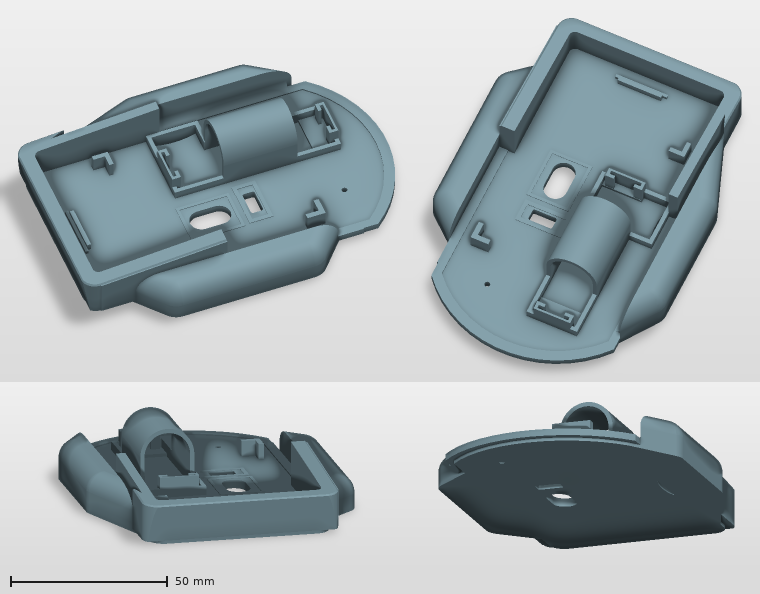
import cadquery as cq


base_top = 1.0
cover_top = 1.7
floor_top = 2.8
rim_top = 3.2
frame_top = 3.0
box_top = 5.6
clip_top = 9.5
above_all = 23.0

case_length = 115.2
case_half_width = 32.1
case_shoulder_y = 99.9
case_corner_radius = 5.1
rim_width = 2.8
rim_back_width = 3.6
rim_shoulder_y = 97.9

wall_inner_half_width = 27.2
wall_inner_front_y = 4.8
wall_back_y = 48.0
wall_inner_radius = 2.1
wall_front_height = 13.2
wall_back_height = 17.2
wall_chamfer = 0.5
front_foot_y = 1.7

pad_thickness = 0.3
pad_front_y = 5.0
pad_back_y = 94.8
pad_drop = 0.5

base_half_width = 29.5
base_front_y = 1.7
base_back_y = 112.6
base_shoulder_y = 99.0
base_corner_radius = 5.0

grip_radius = 6.0
left_grip_x = -41.2
left_grip_top = 13.1
left_grip_front_y = 41.8
left_grip_back_y = 81.9
left_front_slope = 2.7
left_back_slope = 1.46
left_foot_x = -30.3
left_fillet_back_y = 93.5
right_grip_x = 43.2
right_grip_top = 11.3
right_grip_front_y = 25.9
right_grip_back_y = 76.7
right_end_slope = 0.86

box_wall = 1.4
box_left_x = -19.3
box_right_x = -1.6
box_back_y = 100.3
box_front_y = 43.4
box_side_x = -27.3
box_side_back_y = 61.2
tunnel_front_y = 60.1
tunnel_back_y = 85.5
tunnel_radius = (box_right_x - box_left_x) / 2
tunnel_x = (box_right_x + box_left_x) / 2
tunnel_top = 20.5
tunnel_z = tunnel_top - tunnel_radius
clip_left_x = -16.9
clip_right_x = -4.0
clip_depth = 3.0
clip_back_wall = 0.7
clip_end_wall = 1.0
clip_slot = 1.2
clip_mouth = 6.9
opening_back_y = 92.0
opening_ledge_y = 46.5
notch_depth = 1.4
notch_end_gap = 0.3

led_hole_diameter = 1.8
led_hole_at = (14.6, 95.1)
switch_frame_at = (8.8, 65.9)
switch_frame_size = (16.1, 8.1)
switch_frame_wall = 1.4
switch_hole_at = (8.9, 66.0)
switch_hole_size = (8.4, 4.1)
switch_hole_corner = 0.7
slot_frame_at = (9.9, 51.0)
slot_frame_size = (14.7, 18.2)
slot_frame_wall = 1.0
slot_length = 13.8
slot_width = 7.7
bracket_top = 8.0
back_bracket_corner = (25.6, 84.4)
back_bracket_arm = 6.2
back_bracket_wall = 1.7
front_bracket_corner = (-23.6, 28.9)
front_bracket_arm = 5.4
front_bracket_wall = 1.5
latch_x = 0.7
latch_front_y = 8.4
latch_step_y = 9.5
latch_back_y = 10.8
latch_wide = 18.2
latch_narrow = 15.3
latch_top = 5.1
latch_step_top = 3.9


def block(x0, x1, y0, y1, z0, z1):
    """Box between opposite corners."""
    return cq.Workplane("XY").box(x1 - x0, y1 - y0, z1 - z0, centered=False).translate((x0, y0, z0))


def prism(points, z0, z1):
    """Upright prism over a polygon."""
    return cq.Workplane("XY").workplane(offset=z0).polyline(points).close().extrude(z1 - z0)


def arched_plate(half_width, front_y, shoulder_y, apex_y, z0, z1):
    """Plate with a square front end and an arched back end."""
    return (
        cq.Workplane("XY").workplane(offset=z0)
        .moveTo(-half_width, front_y)
        .lineTo(half_width, front_y)
        .lineTo(half_width, shoulder_y)
        .threePointArc((0, apex_y), (-half_width, shoulder_y))
        .close()
        .extrude(z1 - z0)
    )


def grip_outline(inner_x, outer_x, front_y, back_y, front_slope, back_slope):
    """Trapezoid whose slanted ends run from the outer side to inner_x."""
    depth = abs(outer_x - inner_x)
    return [
        (inner_x, front_y - depth * front_slope),
        (outer_x, front_y),
        (outer_x, back_y),
        (inner_x, back_y + depth * back_slope),
    ]


def left_outline(inner_x):
    """Outline of the left grip, reaching in to inner_x."""
    return grip_outline(
        inner_x, left_grip_x, left_grip_front_y, left_grip_back_y, left_front_slope, left_back_slope
    )


def outer_corners(body, outer_x):
    """Upright edges of a grip at its outer side."""
    side = ">X" if outer_x > 0 else "<X"
    return body.faces(side).edges("|Z")


def rounded_grip(outline, outer_x, z0, z1):
    """Grip with its outer corners and its outer top edge rounded by one radius."""
    body = outer_corners(prism(outline, z0, z1), outer_x).fillet(grip_radius)
    inner_top = "<X" if outer_x > 0 else ">X"
    return body.faces(">Z").edges(f"not {inner_top}").fillet(grip_radius)


opening_left_x = box_side_x + box_wall
opening_outline = [
    (opening_left_x, box_front_y + box_wall),
    (clip_left_x, box_front_y + box_wall),
    (clip_left_x, opening_ledge_y),
    (box_right_x - box_wall, opening_ledge_y),
    (box_right_x - box_wall, opening_back_y),
    (box_left_x + box_wall, opening_back_y),
    (box_left_x + box_wall, box_side_back_y - box_wall),
    (opening_left_x, box_side_back_y - box_wall),
]
battery_opening = prism(opening_outline, 0, floor_top)


def floor_holes():
    """Cutters for the indicator hole, the switch window and the long slot."""
    led = cq.Workplane("XY").center(*led_hole_at).circle(led_hole_diameter / 2).extrude(floor_top)
    window = (
        cq.Workplane("XY").center(*switch_hole_at).rect(*switch_hole_size).extrude(floor_top)
        .edges("|Z").fillet(switch_hole_corner)
    )
    slot = cq.Workplane("XY").center(*slot_frame_at).slot2D(slot_length, slot_width, 90).extrude(floor_top)
    return led.union(window).union(slot)


def frame(center, size, wall):
    """Low rectangular frame standing on the floor."""
    outer = cq.Workplane("XY").workplane(offset=floor_top).center(*center).rect(*size)
    inner_size = (size[0] - 2 * wall, size[1] - 2 * wall)
    return outer.rect(*inner_size).extrude(frame_top - floor_top)


def corner_bracket(corner, arm, wall, side):
    """L-shaped post: one arm runs along X toward `side`, the other toward -Y."""
    x, y = corner
    points = [
        (x, y),
        (x + side * arm, y),
        (x + side * arm, y - wall),
        (x + side * wall, y - wall),
        (x + side * wall, y - arm),
        (x, y - arm),
    ]
    return prism(points, floor_top, bracket_top)


def latch():
    """Stepped bar near the front wall."""
    low = block(latch_x - latch_wide / 2, latch_x + latch_wide / 2, latch_front_y, latch_step_y,
                floor_top, latch_step_top)
    high = block(latch_x - latch_narrow / 2, latch_x + latch_narrow / 2, latch_step_y, latch_back_y,
                 floor_top, latch_top)
    return low.union(high)


def wall_height(y):
    """Height of the sloping wall top at a distance y from the front end."""
    return wall_front_height + (wall_back_height - wall_front_height) * y / wall_back_y


def side_profile(drop, front_y, back_y, half_width):
    """Slab under the sloping wall top, seen along X."""
    return (
        cq.Workplane("YZ").workplane(offset=-half_width)
        .polyline([
            (front_y, base_top), (back_y, base_top),
            (back_y, wall_height(back_y) - drop), (front_y, wall_height(front_y) - drop),
        ])
        .close()
        .extrude(2 * half_width)
    )


def raised_wall():
    """U-shaped wall with a leaning front face and a chamfered outer top edge."""
    lean = front_foot_y / (wall_front_height - wall_chamfer - base_top)
    front_y = -wall_chamfer * lean
    body = block(-case_half_width, case_half_width, front_y, wall_back_y, base_top, above_all)
    body = body.faces("<Y").edges("|Z").fillet(case_corner_radius)
    body = body.intersect(side_profile(0, front_y, wall_back_y, case_half_width))
    front_wedge = (
        cq.Workplane("YZ").workplane(offset=-case_half_width)
        .polyline([
            (front_y, base_top), (front_foot_y, base_top), (front_y, wall_front_height),
        ])
        .close()
        .extrude(2 * case_half_width)
    )
    body = body.cut(front_wedge)
    body = body.faces(">Z").edges("not >Y").chamfer(wall_chamfer)
    cavity = block(-wall_inner_half_width, wall_inner_half_width, wall_inner_front_y, wall_back_y,
                   floor_top, above_all)
    return body.cut(cavity.faces("<Y").edges("|Z").fillet(wall_inner_radius))


def contact_clip(outer_y, inward):
    """C-shaped clip on a box end wall; `inward` is the Y direction toward the battery."""
    def strip(x0, x1, start, end):
        ys = sorted((outer_y + inward * start, outer_y + inward * end))
        return block(x0, x1, ys[0], ys[1], floor_top, clip_top)

    middle_x = (clip_left_x + clip_right_x) / 2
    slot_end = clip_back_wall + clip_slot
    body = strip(clip_left_x, clip_right_x, 0, clip_depth)
    slot = strip(clip_left_x + clip_end_wall, clip_right_x - clip_end_wall, clip_back_wall, slot_end)
    mouth = strip(middle_x - clip_mouth / 2, middle_x + clip_mouth / 2, slot_end, clip_depth)
    return body.cut(slot).cut(mouth)


def battery_box():
    """L-shaped box wall with its tunnel and the two contact clips."""
    main = block(box_left_x, box_right_x, box_front_y, box_back_y, floor_top, box_top)
    side = block(box_side_x, box_right_x, box_front_y, box_side_back_y, floor_top, box_top)
    main_inside = block(box_left_x + box_wall, box_right_x - box_wall, box_front_y + box_wall,
                        box_back_y - box_wall, floor_top, box_top)
    side_inside = block(opening_left_x, box_right_x - box_wall, box_front_y + box_wall,
                        box_side_back_y - box_wall, floor_top, box_top)
    length = tunnel_back_y - tunnel_front_y

    def tunnel_shape(radius):
        cylinder = (
            cq.Workplane("XZ", origin=(tunnel_x, tunnel_back_y, tunnel_z)).circle(radius).extrude(length)
        )
        legs = block(tunnel_x - radius, tunnel_x + radius, tunnel_front_y, tunnel_back_y, floor_top, tunnel_z)
        return cylinder.union(legs)

    tunnel = tunnel_shape(tunnel_radius).cut(tunnel_shape(tunnel_radius - box_wall))
    clip_room = block(clip_left_x, clip_right_x, box_front_y, box_back_y, floor_top, box_top)
    box = main.union(side).cut(main_inside).cut(side_inside).cut(clip_room).union(tunnel)
    return box.union(contact_clip(box_back_y, -1)).union(contact_clip(box_front_y, 1))


def make_case():
    """Floor with rim, raised wall and everything that stands on the floor."""
    body = arched_plate(case_half_width, 0, case_shoulder_y, case_length, base_top, rim_top)
    body = body.cut(block(-case_half_width, case_half_width, 0, wall_back_y, base_top, rim_top))
    body = body.cut(arched_plate(case_half_width - rim_width, wall_inner_front_y, rim_shoulder_y,
                                 case_length - rim_back_width, floor_top, rim_top))
    body = body.union(raised_wall())
    pad_side = case_half_width + pad_thickness
    pad = block(case_half_width, pad_side, pad_front_y, pad_back_y, base_top, rim_top)
    wall_pad = block(case_half_width, pad_side, pad_front_y, wall_back_y, base_top, above_all)
    body = body.union(pad).union(wall_pad.intersect(side_profile(pad_drop, 0, wall_back_y, pad_side)))
    body = body.cut(prism(left_outline(left_foot_x), base_top, above_all))
    body = body.union(battery_box()).cut(battery_opening)
    body = body.union(frame(switch_frame_at, switch_frame_size, switch_frame_wall))
    body = body.union(frame(slot_frame_at, slot_frame_size, slot_frame_wall))
    body = body.union(corner_bracket(back_bracket_corner, back_bracket_arm, back_bracket_wall, -1))
    body = body.union(corner_bracket(front_bracket_corner, front_bracket_arm, front_bracket_wall, 1))
    return body.union(latch()).cut(floor_holes())


def make_base_plate():
    """Thin plate under the case, widened under the left grip."""
    body = arched_plate(base_half_width, base_front_y, base_shoulder_y, base_back_y, 0, base_top)
    body = body.faces("<Y").edges("|Z").fillet(base_corner_radius)
    grip_foot = prism(left_outline(-base_half_width), 0, base_top)
    grip_foot = outer_corners(grip_foot, left_grip_x).fillet(grip_radius)
    return body.union(grip_foot).cut(battery_opening).cut(floor_holes())


def make_battery_cover():
    """Plate filling the battery opening, with a shallow curved finger notch at its left end."""
    body = prism(opening_outline, 0, cover_top)
    front_y, back_y = box_front_y + box_wall, box_side_back_y - box_wall
    notch = (
        cq.Workplane("XY")
        .moveTo(opening_left_x, front_y)
        .lineTo(opening_left_x + notch_end_gap, front_y)
        .threePointArc((opening_left_x + notch_depth, (front_y + back_y) / 2),
                       (opening_left_x + notch_end_gap, back_y))
        .lineTo(opening_left_x, back_y)
        .close()
        .extrude(cover_top)
    )
    return body.cut(notch)


def make_left_grip():
    """Left grip with a low foot beside the rim and a hollow fillet along its inner face."""
    body = rounded_grip(left_outline(left_foot_x), left_grip_x, base_top, left_grip_top)
    body = body.cut(block(-case_half_width, left_foot_x, 0, case_length, rim_top, above_all))
    center = (-case_half_width + rim_width, rim_top + rim_width)
    fillet = block(-case_half_width, center[0], wall_back_y, left_fillet_back_y, rim_top, center[1])
    round_cut = (
        cq.Workplane("XZ", origin=(center[0], case_length, center[1]))
        .circle(rim_width).extrude(case_length)
    )
    return body.union(fillet.cut(round_cut))


def make_right_grip():
    """Right grip with a thin foot that reaches under the case to the base plate."""
    outline = grip_outline(base_half_width, right_grip_x, right_grip_front_y, right_grip_back_y,
                           right_end_slope, right_end_slope)
    body = rounded_grip(outline, right_grip_x, 0, right_grip_top)
    return body.cut(block(0, case_half_width + pad_thickness, 0, case_length, base_top, above_all))


case = make_case()
base_plate = make_base_plate()
battery_cover = make_battery_cover()
left_grip = make_left_grip()
right_grip = make_right_grip()

result = cq.Compound.makeCompound([
    case.val(), base_plate.val(), battery_cover.val(), left_grip.val(), right_grip.val(),
])